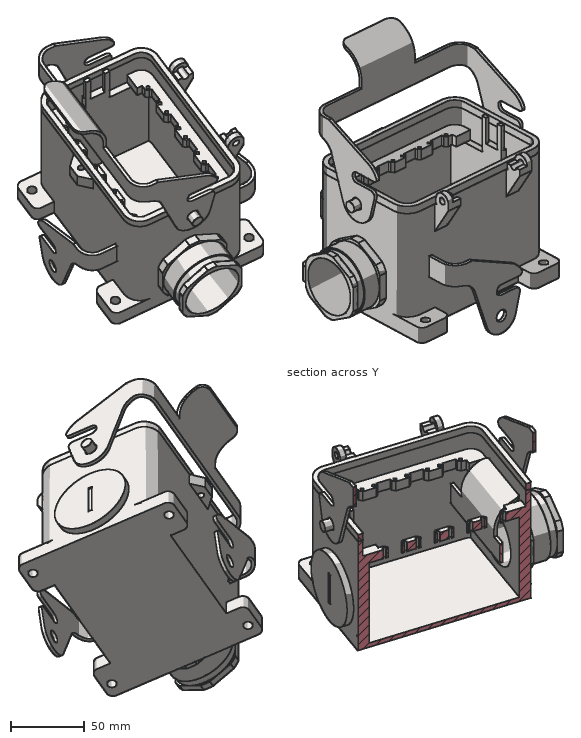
import cadquery as cq
import math


LENGTH = 132.0
WIDTH = 90.4
WALL = 4.0
CORNER_RADIUS = 13.0
HEIGHT = 100.0
SEAL_HEIGHT = 5.8
BODY_HEIGHT = HEIGHT - SEAL_HEIGHT
FLOOR_THICKNESS = WALL
LEDGE_WIDTH = 5.1
END_WALL = WALL + LEDGE_WIDTH
CAVITY_LENGTH = LENGTH - 2 * WALL
CAVITY_WIDTH = WIDTH - 2 * WALL

FOOT_LENGTH = 26.8
FOOT_HEIGHT = 12.2
FOOT_SPAN = 120.5
FOOT_RADIUS = 5.0
FOOT_HOLE_DIAMETER = 6.5
FOOT_HOLE_X = 55.5
FOOT_HOLE_Y = 53.0

FRAME_TOP = 80.5
FRAME_DEPTH = 8.0
FRAME_BOTTOM = FRAME_TOP - FRAME_DEPTH
FRAME_END_HALF_WIDTH = 26.3
FRAME_END_X = 48.7
RIB_HALF_WIDTH = 30.3
NICHE_HALF_WIDTH = 34.4
NICHE_PITCH = 25.0
NICHE_COUNT = 4
NICHE_LENGTH = 10.5
NICHE_CHAMFER = 2.1
SCREW_DIAMETER = 2.46
SCREW_OFFSET_X = 8.0
SCREW_Y = 33.0
PAD_HALF_WIDTH = 9.4
TAB_LENGTH = 2.9
TAB_WIDTH = 3.8
TAB_TOP = 101.0

LUG_X = 34.8
LUG_THICKNESS = 4.5
LUG_SHOULDER_LENGTH = 7.1
LUG_Y = 52.4
LUG_Z = 99.4
LUG_RADIUS = 6.1
LUG_HOLE_DIAMETER = 5.1
LUG_FOOT_Z = 72.5

EYE_HEIGHT = 10.0
EYE_DEPTH = 7.8
EYE_BASE_LENGTH = 26.0
EYE_TIP_LENGTH = 10.0
EYE_HOLE_DIAMETER = 4.13
EYE_HOLE_SETBACK = 2.0

ENTRY_Z = 32.0
PLUG_DIAMETER = 55.0
PLUG_THICKNESS = 5.0
PLUG_SLOT_WIDTH = 3.0
PLUG_SLOT_LENGTH = 25.0
PLUG_SLOT_DEPTH = 1.0
NUT_ACROSS_FLATS = 50.6
NUT_ACROSS_CORNERS = 54.4
NUT_LENGTH = 6.1
GLAND_DIAMETER = 49.3
GLAND_LENGTH = 13.4
NECK_DIAMETER = 47.0
NECK_LENGTH = 5.5
CAP_ACROSS_FLATS = 47.0
CAP_ACROSS_CORNERS = 50.6
CAP_LENGTH = 4.6
GLAND_BORE_DIAMETER = 42.0

SHEET = 2.5
LEVER_SPAN = 139.5
LEVER_REACH = 44.5
BEND_RADIUS = 12.5
PIVOT_HOLE_DIAMETER = 9.0
PIVOT_PIN_DIAMETER = 8.0
PIVOT_PIN_END = 76.0
UPPER_PIVOT_Z = 87.19
HUB_RADIUS = 14.0
BAR_BOTTOM = 38.2
BAR_TOP = 54.9
FRONT_EDGE_ANGLE = 71.0
BACK_EDGE_ANGLE = 76.0
BAR_FILLET = 14.0
SHOULDER_REACH = 27.6
HOOK_SLOPE_END = (-11.5, 36.5)
HOOK_BROW_MIDDLE = (-16.0, 33.0)
HOOK_BROW_END = (-19.2, 28.3)
HOOK_TIP_MIDDLE = (-19.0, 25.9)
HOOK_TIP_END_U = -16.9
SLOT_CENTRE_V = 20.65
SLOT_WIDTH = 8.3
SLOT_CENTRE_U = 0.2
HEEL_RADIUS = 3.8
TONGUE_WIDTH = 50.0
TONGUE_RADIUS = 22.6
TONGUE_TOP = 82.6
TONGUE_CORNER_RADIUS = 7.2


def box(x_range, y_range, z_range):
    size = [high - low for low, high in (x_range, y_range, z_range)]
    return cq.Workplane("XY").box(*size, centered=False).translate((x_range[0], y_range[0], z_range[0]))


def rounded_block(length, width, radius, bottom, top):
    block = cq.Workplane("XY").workplane(offset=bottom).rect(length, width).extrude(top - bottom)
    return block.edges("|Z").fillet(radius)


def cavity_block(bottom, top):
    return rounded_block(CAVITY_LENGTH, CAVITY_WIDTH, CORNER_RADIUS - WALL, bottom, top)


def x_cylinder(diameter, start, length):
    """Cylinder along +X, centred on Y = Z = 0."""
    return cq.Workplane("YZ").workplane(offset=start).circle(diameter / 2).extrude(length)


def x_hexagon(across_flats, across_corners, start, length):
    """Hexagon bar along +X with flats facing +Y and -Y and its corners turned down."""
    point_diameter = across_flats / math.cos(math.pi / 6)
    bar = cq.Workplane("YZ").polygon(6, point_diameter).extrude(length).rotate((0, 0, 0), (1, 0, 0), 90)
    return bar.translate((start, 0, 0)).intersect(x_cylinder(across_corners, start, length))


def cavity():
    """Room for the contacts; its end walls step inward to form ledges level with the frame's underside."""
    half_length = LENGTH / 2 - END_WALL
    half_width = CAVITY_WIDTH / 2
    lower_limits = box(
        (-half_length, half_length), (-half_width, half_width), (FLOOR_THICKNESS, FRAME_BOTTOM)
    )
    lower = cavity_block(FLOOR_THICKNESS, FRAME_BOTTOM).intersect(lower_limits)
    return lower.union(cavity_block(FRAME_BOTTOM, BODY_HEIGHT))


def feet():
    """A rounded bar under each end of the shell, its tips standing out front and back as feet."""
    foot_x = (LENGTH - FOOT_LENGTH) / 2
    bars = (
        cq.Workplane("XY")
        .pushPoints([(-foot_x, 0), (foot_x, 0)])
        .rect(FOOT_LENGTH, FOOT_SPAN)
        .extrude(FOOT_HEIGHT)
        .edges("|Z")
        .fillet(FOOT_RADIUS)
    )
    hole_points = [(sx * FOOT_HOLE_X, sy * FOOT_HOLE_Y) for sx in (-1, 1) for sy in (-1, 1)]
    holes = cq.Workplane("XY").pushPoints(hole_points).circle(FOOT_HOLE_DIAMETER / 2).extrude(FOOT_HEIGHT)
    return bars.cut(holes)


def niche(centre_x):
    """One widened bay of the frame opening, chamfered where it meets the narrower ribs."""
    half = NICHE_LENGTH / 2
    wide = half + NICHE_CHAMFER
    knee = RIB_HALF_WIDTH + NICHE_CHAMFER
    corners = [(half, NICHE_HALF_WIDTH), (half, knee), (wide, RIB_HALF_WIDTH)]
    right = corners + [(x, -y) for x, y in reversed(corners)]
    outline = right + [(-x, y) for x, y in reversed(right)]
    bay = cq.Workplane("XY").workplane(offset=FRAME_BOTTOM).polyline(outline).close().extrude(FRAME_DEPTH)
    return bay.translate((centre_x, 0, 0))


def contact_frame():
    frame = cavity_block(FRAME_BOTTOM, FRAME_TOP)
    half_length = CAVITY_LENGTH / 2
    height = (FRAME_BOTTOM, FRAME_TOP)
    end_range = (-FRAME_END_HALF_WIDTH, FRAME_END_HALF_WIDTH)
    frame = frame.cut(box((-half_length, half_length), end_range, height))
    frame = frame.cut(box((-FRAME_END_X, FRAME_END_X), (-RIB_HALF_WIDTH, RIB_HALF_WIDTH), height))
    for index in range(NICHE_COUNT):
        centre_x = (index - (NICHE_COUNT - 1) / 2) * NICHE_PITCH
        screw_points = [(centre_x + sx * SCREW_OFFSET_X, sy * SCREW_Y) for sx in (-1, 1) for sy in (-1, 1)]
        screws = (
            cq.Workplane("XY")
            .workplane(offset=FRAME_BOTTOM)
            .pushPoints(screw_points)
            .circle(SCREW_DIAMETER / 2)
            .extrude(FRAME_DEPTH)
        )
        frame = frame.cut(niche(centre_x)).cut(screws)
    return frame


def coding_tabs():
    """Pad on the left ledge carrying two upright tabs that rise just past the rim."""
    wall_x = -CAVITY_LENGTH / 2
    front_x = wall_x + LEDGE_WIDTH
    tabs = box((wall_x, front_x), (-PAD_HALF_WIDTH, PAD_HALF_WIDTH), (FRAME_BOTTOM, FRAME_TOP))
    for low in (-PAD_HALF_WIDTH, PAD_HALF_WIDTH - TAB_WIDTH):
        tabs = tabs.union(box((front_x - TAB_LENGTH, front_x), (low, low + TAB_WIDTH), (FRAME_TOP, TAB_TOP)))
    return tabs


def hinge_lug():
    """Eye on the +X half of the back wall, with a half-bearing shoulder toward the middle."""
    wall_y = WIDTH / 2
    length = LUG_THICKNESS + LUG_SHOULDER_LENGTH
    lug = (
        cq.Workplane("YZ")
        .moveTo(wall_y, LUG_FOOT_Z)
        .lineTo(LUG_Y + LUG_RADIUS, BODY_HEIGHT)
        .lineTo(LUG_Y + LUG_RADIUS, LUG_Z)
        .threePointArc((LUG_Y, LUG_Z + LUG_RADIUS), (LUG_Y - LUG_RADIUS, LUG_Z))
        .lineTo(LUG_Y - LUG_RADIUS, BODY_HEIGHT)
        .lineTo(wall_y, BODY_HEIGHT)
        .close()
        .extrude(length)
    )
    above = box((0, LUG_SHOULDER_LENGTH), (wall_y, LUG_Y + LUG_RADIUS), (LUG_Z, LUG_Z + LUG_RADIUS))
    bore = x_cylinder(LUG_HOLE_DIAMETER, 0, length).translate((0, LUG_Y, LUG_Z))
    return lug.cut(above).cut(bore).translate((LUG_X - LUG_SHOULDER_LENGTH, 0, 0))


def sealing_eye():
    wall_y = -WIDTH / 2
    tip_y = wall_y - EYE_DEPTH
    outline = [
        (-EYE_BASE_LENGTH / 2, wall_y),
        (-EYE_TIP_LENGTH / 2, tip_y),
        (EYE_TIP_LENGTH / 2, tip_y),
        (EYE_BASE_LENGTH / 2, wall_y),
    ]
    plane = cq.Workplane("XY").workplane(offset=BODY_HEIGHT - EYE_HEIGHT)
    hole_y = wall_y - EYE_HOLE_SETBACK
    hole = plane.center(0, hole_y).circle(EYE_HOLE_DIAMETER / 2).extrude(EYE_HEIGHT)
    return plane.polyline(outline).close().extrude(EYE_HEIGHT).cut(hole)


def blind_plug():
    outer_x = -LENGTH / 2 - PLUG_THICKNESS
    plug = x_cylinder(PLUG_DIAMETER, outer_x, PLUG_THICKNESS)
    half_width = PLUG_SLOT_WIDTH / 2
    half_length = PLUG_SLOT_LENGTH / 2
    slot = box((outer_x, outer_x + PLUG_SLOT_DEPTH), (-half_width, half_width), (-half_length, half_length))
    return plug.cut(slot).translate((0, 0, ENTRY_Z))


def cable_gland():
    gland_x = LENGTH / 2 + NUT_LENGTH
    neck_x = gland_x + GLAND_LENGTH
    cap_x = neck_x + NECK_LENGTH
    gland = x_hexagon(NUT_ACROSS_FLATS, NUT_ACROSS_CORNERS, LENGTH / 2, NUT_LENGTH)
    gland = gland.union(x_cylinder(GLAND_DIAMETER, gland_x, GLAND_LENGTH))
    gland = gland.union(x_cylinder(NECK_DIAMETER, neck_x, NECK_LENGTH))
    gland = gland.union(x_hexagon(CAP_ACROSS_FLATS, CAP_ACROSS_CORNERS, cap_x, CAP_LENGTH))
    return gland.translate((0, 0, ENTRY_Z))


def gland_bore():
    length = END_WALL + NUT_LENGTH + GLAND_LENGTH + NECK_LENGTH + CAP_LENGTH
    return x_cylinder(GLAND_BORE_DIAMETER, LENGTH / 2 - END_WALL, length).translate((0, 0, ENTRY_Z))


def pivot_pins():
    length = PIVOT_PIN_END - LENGTH / 2
    pin = x_cylinder(PIVOT_PIN_DIAMETER, LENGTH / 2, length).translate((0, 0, UPPER_PIVOT_Z))
    return pin.union(pin.mirror("YZ"))


def build_housing():
    body = rounded_block(LENGTH, WIDTH, CORNER_RADIUS, 0, BODY_HEIGHT).union(feet())
    body = body.cut(cavity())
    lug = hinge_lug()
    features = [contact_frame(), coding_tabs(), lug, lug.mirror("YZ"), sealing_eye()]
    features += [blind_plug(), cable_gland(), pivot_pins()]
    for feature in features:
        body = body.union(feature, clean=False)
    return body.cut(gland_bore())


def build_seal():
    ring = rounded_block(LENGTH, WIDTH, CORNER_RADIUS, BODY_HEIGHT, HEIGHT)
    return ring.cut(cavity_block(BODY_HEIGHT, HEIGHT))


def lever_side_plate():
    """Side outline in (u, v): u is the reach toward the cross bar, v is up."""
    front = math.radians(FRONT_EDGE_ANGLE)
    back = math.radians(BACK_EDGE_ANGLE)
    front_tangent = (HUB_RADIUS * math.sin(front), -HUB_RADIUS * math.cos(front))
    back_tangent = (-HUB_RADIUS * math.sin(back), -HUB_RADIUS * math.cos(back))
    slot_top = SLOT_CENTRE_V + SLOT_WIDTH / 2
    slot_bottom = SLOT_CENTRE_V - SLOT_WIDTH / 2

    edge_end_u = front_tangent[0] + (BAR_BOTTOM - front_tangent[1]) / math.tan(front)
    setback = BAR_FILLET * math.tan(front / 2)
    fillet_centre = (edge_end_u + setback, BAR_BOTTOM - BAR_FILLET)
    fillet_start = (edge_end_u - setback * math.cos(front), BAR_BOTTOM - setback * math.sin(front))
    fillet_angle = (math.pi + front) / 2
    fillet_middle = (
        fillet_centre[0] + BAR_FILLET * math.cos(fillet_angle),
        fillet_centre[1] + BAR_FILLET * math.sin(fillet_angle),
    )

    heel_u = back_tangent[0] - (slot_bottom - back_tangent[1]) / math.tan(back)
    heel_setback = HEEL_RADIUS * math.tan((math.pi - back) / 2)
    heel_start = (heel_u + heel_setback, slot_bottom)
    heel_end = (heel_u + heel_setback * math.cos(back), slot_bottom - heel_setback * math.sin(back))

    return (
        cq.Workplane("YZ")
        .moveTo(*front_tangent)
        .lineTo(*fillet_start)
        .threePointArc(fillet_middle, (fillet_centre[0], BAR_BOTTOM))
        .lineTo(LEVER_REACH, BAR_BOTTOM)
        .lineTo(LEVER_REACH, BAR_TOP)
        .lineTo(SHOULDER_REACH, BAR_TOP)
        .lineTo(*HOOK_SLOPE_END)
        .threePointArc(HOOK_BROW_MIDDLE, HOOK_BROW_END)
        .threePointArc(HOOK_TIP_MIDDLE, (HOOK_TIP_END_U, slot_top))
        .lineTo(SLOT_CENTRE_U, slot_top)
        .threePointArc((SLOT_CENTRE_U + SLOT_WIDTH / 2, SLOT_CENTRE_V), (SLOT_CENTRE_U, slot_bottom))
        .lineTo(*heel_start)
        .radiusArc(heel_end, -HEEL_RADIUS)
        .lineTo(*back_tangent)
        .threePointArc((0, -HUB_RADIUS), front_tangent)
        .close()
        .extrude(LEVER_SPAN / 2, both=True)
        .mirror("XZ")
    )


def lever_band():
    """U-shaped strip, bent around the two corners of the cross bar."""
    leg_end_y = -HOOK_BROW_END[0] + HUB_RADIUS

    def bent_block(inset):
        block = box(
            (inset - LEVER_SPAN / 2, LEVER_SPAN / 2 - inset),
            (inset - LEVER_REACH, leg_end_y),
            (-HUB_RADIUS, BAR_TOP),
        )
        return block.edges("|Z and <Y").fillet(BEND_RADIUS - inset)

    return bent_block(0).cut(bent_block(SHEET))


def lever_tongue():
    """Thumb tongue rising from the cross bar and curling outward."""
    inner_y = SHEET - LEVER_REACH
    centre_y = inner_y - TONGUE_RADIUS
    centre_z = TONGUE_TOP - TONGUE_RADIUS
    inner_radius = TONGUE_RADIUS - SHEET
    diagonal = math.sqrt(0.5)
    tongue = (
        cq.Workplane("YZ")
        .moveTo(inner_y, BAR_TOP)
        .lineTo(inner_y, centre_z)
        .threePointArc(
            (centre_y + TONGUE_RADIUS * diagonal, centre_z + TONGUE_RADIUS * diagonal), (centre_y, TONGUE_TOP)
        )
        .lineTo(centre_y, TONGUE_TOP - SHEET)
        .threePointArc(
            (centre_y + inner_radius * diagonal, centre_z + inner_radius * diagonal),
            (-LEVER_REACH, centre_z),
        )
        .lineTo(-LEVER_REACH, BAR_TOP)
        .close()
        .extrude(TONGUE_WIDTH / 2, both=True)
    )
    plan = box((-TONGUE_WIDTH / 2, TONGUE_WIDTH / 2), (centre_y, inner_y), (BAR_TOP, TONGUE_TOP))
    return tongue.intersect(plan.edges("|Z and <Y").fillet(TONGUE_CORNER_RADIUS))


def build_lever():
    pivot_holes = x_cylinder(PIVOT_HOLE_DIAMETER, -LEVER_SPAN / 2, LEVER_SPAN)
    return lever_band().intersect(lever_side_plate()).union(lever_tongue()).cut(pivot_holes)


lever = build_lever()
lever_placements = [(0, UPPER_PIVOT_Z), (90, 0)]
levers = [lever.rotate((0, 0, 0), (0, 0, 1), turn).translate((0, 0, lift)) for turn, lift in lever_placements]

housing = build_housing().cut(levers[1])
seal = build_seal()

result = cq.Compound.makeCompound([housing.val(), seal.val(), *[item.val() for item in levers]])